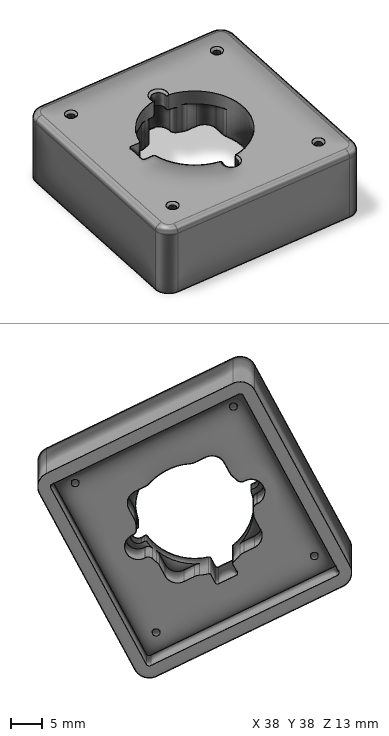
import cadquery as cq
import math

SIDE = 38.0
HEIGHT = 13.0
CORNER_RADIUS = 2.55
TOP_EDGE_RADIUS = 1.18

WALL = 2.0
PLATE_THICKNESS = 8.05
CAVITY_DEPTH = HEIGHT - PLATE_THICKNESS

BORE_RADIUS = 9.3

KEY_WIDTH = 3.88
KEY_REACH = 11.25
KEY_END_RADIUS = 0.38
KEY_MOUTH_RADIUS = 0.3

SLOT_CENTER = 10.0
SLOT_RADIUS = 1.2
SLOT_MOUTH_RADIUS = 0.3
SLOT_STEP_DEPTH = 3.0
SLOT_RECESS_RADIUS = 2.13
SLOT_RECESS_MOUTH_RADIUS = 1.0

SQUARE_STEP_DEPTH = 2.6
SQUARE_SIDE = 16.87
SQUARE_CORNER_RADIUS = 2.2
SQUARE_MOUTH_RADIUS = 2.0

HOLE_DIAMETER = 1.2
HOLE_OFFSET = 14.0

RIM_CHAMFER = 0.4
COUNTERSINK_ANGLE = 90

EDGE_REACH = 0.05


def plate_level(depth):
    """Work plane at the given depth below the top face."""
    return cq.Workplane("XY").workplane(offset=HEIGHT - depth)


def bore(depth):
    """Bore cylinder from the given depth down to the bottom of the plate."""
    return plate_level(PLATE_THICKNESS).circle(BORE_RADIUS).extrude(PLATE_THICKNESS - depth)


def along_bore(offset):
    """Coordinate of the bore wall at the given offset along the other axis."""
    return math.sqrt(BORE_RADIUS**2 - offset**2)


def round_mouths(cutter, x, y, radius):
    """Round the vertical edges where a cutter opens into the bore, at (x, y) and (-x, y)."""
    for mouth_x in (-x, x):
        near_mouth = cq.selectors.BoxSelector(
            (mouth_x - EDGE_REACH, y - EDGE_REACH, 0),
            (mouth_x + EDGE_REACH, y + EDGE_REACH, HEIGHT),
        )
        cutter = cutter.edges("|Z").edges(near_mouth).fillet(radius)
    return cutter


def key_opening():
    """Bore with the key slot."""
    key = (
        plate_level(PLATE_THICKNESS)
        .center(0, -KEY_REACH / 2)
        .rect(KEY_WIDTH, KEY_REACH)
        .extrude(PLATE_THICKNESS)
        .edges("|Z and <Y")
        .fillet(KEY_END_RADIUS)
    )
    mouth = KEY_WIDTH / 2
    return round_mouths(bore(0).union(key), mouth, -along_bore(mouth), KEY_MOUTH_RADIUS)


def side_slots(radius, mouth_radius, depth):
    """Bore with both side slots, from the given depth down."""
    slots = (
        plate_level(PLATE_THICKNESS)
        .slot2D(2 * (SLOT_CENTER + radius), 2 * radius)
        .extrude(PLATE_THICKNESS - depth)
    )
    cutter = bore(depth).union(slots)
    for wall_y in (-radius, radius):
        cutter = round_mouths(cutter, along_bore(radius), wall_y, mouth_radius)
    return cutter


def square_recess():
    """Bore with the rounded square, from its step down."""
    height = PLATE_THICKNESS - SQUARE_STEP_DEPTH
    square = plate_level(PLATE_THICKNESS).rect(SQUARE_SIDE, SQUARE_SIDE).extrude(height)
    square = square.edges("|Z").fillet(SQUARE_CORNER_RADIUS)
    cutter = bore(SQUARE_STEP_DEPTH).union(square)
    flank = SQUARE_SIDE / 2
    mouth = along_bore(flank)
    for side in (-1, 1):
        cutter = round_mouths(cutter, flank, side * mouth, SQUARE_MOUTH_RADIUS)
        cutter = round_mouths(cutter, mouth, side * flank, SQUARE_MOUTH_RADIUS)
    return cutter


def slot_rims():
    """Conical chamfer around the round ends of the side slots."""
    rims = cq.Workplane("XY")
    for center_x in (-SLOT_CENTER, SLOT_CENTER):
        cone = (
            plate_level(RIM_CHAMFER)
            .center(center_x, 0)
            .circle(SLOT_RADIUS)
            .workplane(offset=RIM_CHAMFER)
            .circle(SLOT_RADIUS + RIM_CHAMFER)
            .loft()
        )
        rims = rims.add(cone)
    return rims.combine()


def shell():
    """Rounded box, hollow from below."""
    box = cq.Workplane("XY").box(SIDE, SIDE, HEIGHT, centered=(True, True, False))
    box = box.edges("|Z").fillet(CORNER_RADIUS)
    box = box.faces(">Z").edges().fillet(TOP_EDGE_RADIUS)
    inner_side = SIDE - 2 * WALL
    cavity = cq.Workplane("XY").rect(inner_side, inner_side).extrude(CAVITY_DEPTH)
    return box.cut(cavity.edges("|Z").fillet(CORNER_RADIUS - WALL))


def drill_screw_holes(body):
    """Four countersunk through holes near the corners."""
    return (
        body.faces(">Z")
        .workplane(origin=(0, 0, HEIGHT))
        .rect(2 * HOLE_OFFSET, 2 * HOLE_OFFSET, forConstruction=True)
        .vertices()
        .cskHole(HOLE_DIAMETER, HOLE_DIAMETER + 2 * RIM_CHAMFER, COUNTERSINK_ANGLE)
    )


body = shell().cut(key_opening())
body = body.cut(side_slots(SLOT_RADIUS, SLOT_MOUTH_RADIUS, 0))
body = body.cut(side_slots(SLOT_RECESS_RADIUS, SLOT_RECESS_MOUTH_RADIUS, SLOT_STEP_DEPTH))
body = body.cut(square_recess())
body = body.cut(slot_rims())
result = drill_screw_holes(body)